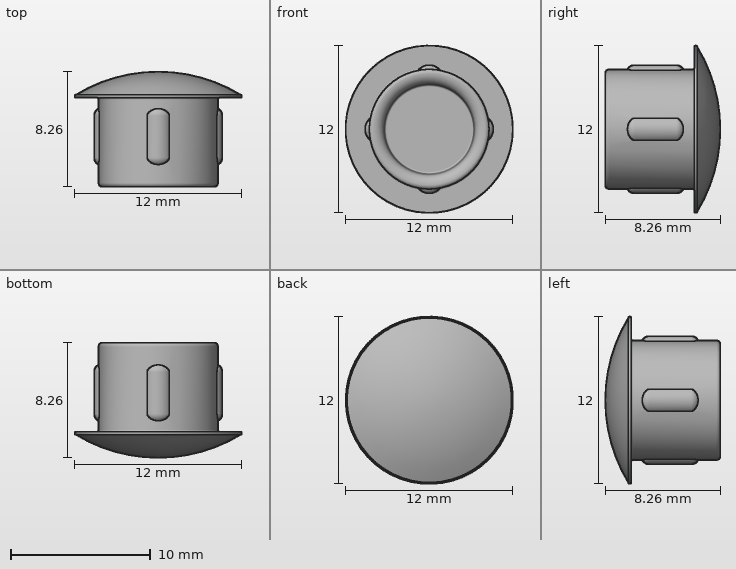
import cadquery as cq
import math

flange_radius = 6.0
rim_radius = 0.11
rim_height = 2 * rim_radius
dome_height = 1.87

barrel_radius = 4.29
barrel_length = 6.39
barrel_end_fillet = 0.28
root_fillet = 0.13

bore_radius = 3.27
bore_floor_radius = 3.17
mouth_fillet = barrel_radius - barrel_end_fillet - bore_radius
floor_fillet = 0.12

rib_count = 4
rib_top_radius = 4.6
rib_arc_radius = 1.01
rib_depth = 0.55
rib_straight_length = 3.01
rib_center_y = -2.79


def make_body():
    """Revolve the dome, flange and barrel around the Y axis."""
    dome_base_radius = flange_radius - rim_radius
    dome_rise = dome_height - rim_height
    dome_radius = (dome_base_radius**2 + dome_rise**2) / (2 * dome_rise)
    mid_x = dome_base_radius / 2
    mid_y = dome_height - dome_radius + math.sqrt(dome_radius**2 - mid_x**2)
    profile = (
        cq.Workplane("XY")
        .moveTo(0, dome_height)
        .threePointArc((mid_x, mid_y), (dome_base_radius, rim_height))
        .threePointArc((flange_radius, rim_radius), (dome_base_radius, 0))
        .lineTo(barrel_radius + root_fillet, 0)
        .radiusArc((barrel_radius, -root_fillet), -root_fillet)
        .lineTo(barrel_radius, barrel_end_fillet - barrel_length)
        .radiusArc((barrel_radius - barrel_end_fillet, -barrel_length), barrel_end_fillet)
        .lineTo(0, -barrel_length)
        .close()
    )
    return profile.revolve(360, (0, 0, 0), (0, 1, 0))


def make_bore():
    """Tapered blind bore down to the flange, with a flared mouth and rounded floor corner."""
    profile = (
        cq.Workplane("XY")
        .lineTo(bore_floor_radius - floor_fillet, 0)
        .radiusArc((bore_floor_radius, -floor_fillet), floor_fillet)
        .lineTo(bore_radius, mouth_fillet - barrel_length)
        .radiusArc((bore_radius + mouth_fillet, -barrel_length), -mouth_fillet)
        .lineTo(0, -barrel_length)
        .close()
    )
    return profile.revolve(360, (0, 0, 0), (0, 1, 0))


def make_rib():
    """Rib on the +Z side: a segment-shaped bar with ends revolved about its base chord."""
    base_z = rib_top_radius - rib_depth
    half_width = math.sqrt(rib_arc_radius**2 - (rib_arc_radius - rib_depth) ** 2)
    front_y = rib_center_y - rib_straight_length / 2

    def section(y):
        return (
            cq.Workplane("XZ", origin=(0, y, base_z))
            .moveTo(-half_width, 0)
            .threePointArc((0, rib_depth), (half_width, 0))
            .close()
        )

    rib = section(front_y).extrude(-rib_straight_length)
    for end_y in (front_y, front_y + rib_straight_length):
        rib = rib.union(section(end_y).revolve(360, (0, 0, 0), (1, 0, 0)))
    return rib


result = make_body()
rib = make_rib()
for index in range(rib_count):
    result = result.union(rib.rotate((0, 0, 0), (0, 1, 0), index * 360 / rib_count))
result = result.cut(make_bore())